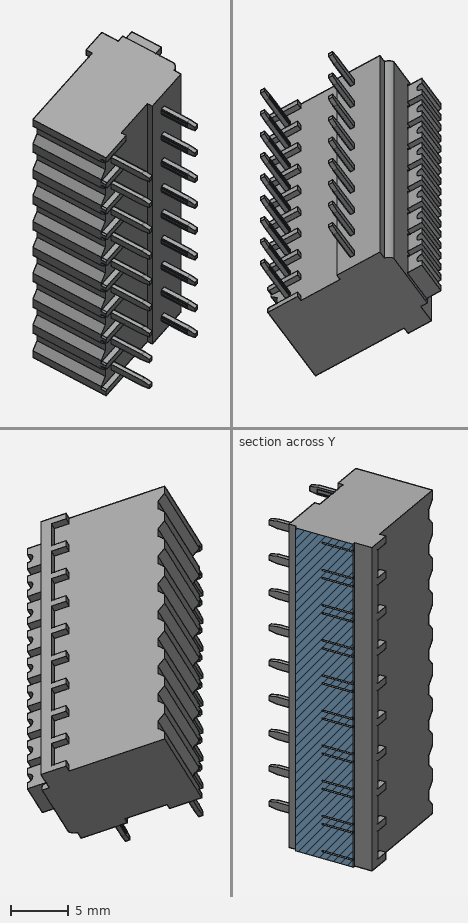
import cadquery as cq
import math


length = 32.2
poles = 9
rib = 0.7
pitch = (length - rib) / poles
pole_centres = [rib / 2 + pitch * (i + 0.5) for i in range(poles)]
pocket_height = pitch - rib

lip_depth = 0.65
lip_front = 9.15
shoulder_y = 11.55
back_y = 12.25
back_left = 1.75
corner_start = 7.18
corner_end = 7.63
corner_mid_x = 7.47
corner_mid_y = 11.98
foot_face = 8.37
foot_depth = 0.5
wall_x = foot_face - foot_depth
front_foot_end = 3.1
back_foot_start = 7.12

groove_depth = 0.65
groove_floor = 0.9
groove_mouth = 2.38

lip_strip_front = 10.55
rib_chamfer = 0.145

tab_height = 2.6
tab_right = 4.85
tab_back = 13.65
tab_root = 0.32
notch_radius = 0.5

front_pin_y = 1.7
back_pin_y = 8.73
pin_thickness = 0.42
pin_width = 0.75
pin_root = wall_x - 0.65
pin_end = 11.9
tip_length = 0.8
tip_width = 0.45
tip_start = pin_end - tip_length
bead_height = 0.08
bead_width = 0.35


def box(x0, x1, y0, y1, z_centre, height):
    """Box between two X and two Y positions, centred on z_centre."""
    return (
        cq.Workplane("XY", origin=(0, 0, z_centre - height / 2))
        .moveTo(x0, y0)
        .lineTo(x1, y0)
        .lineTo(x1, y1)
        .lineTo(x0, y1)
        .close()
        .extrude(height)
    )


def make_body():
    return (
        cq.Workplane("XY")
        .moveTo(lip_depth, 0)
        .lineTo(foot_face, 0)
        .lineTo(foot_face, front_foot_end)
        .lineTo(wall_x, front_foot_end)
        .lineTo(wall_x, back_foot_start)
        .lineTo(foot_face, back_foot_start)
        .lineTo(foot_face, shoulder_y)
        .lineTo(corner_end, shoulder_y)
        .threePointArc((corner_mid_x, corner_mid_y), (corner_start, back_y))
        .lineTo(back_left, back_y)
        .lineTo(back_left, shoulder_y)
        .lineTo(0, shoulder_y)
        .lineTo(0, lip_front)
        .lineTo(lip_depth, lip_front)
        .close()
        .extrude(length)
    )


def groove(z):
    """Trapezoidal groove running along X, open towards the front."""
    return (
        cq.Workplane("YZ")
        .moveTo(0, z - groove_mouth / 2)
        .lineTo(groove_depth, z - groove_floor / 2)
        .lineTo(groove_depth, z + groove_floor / 2)
        .lineTo(0, z + groove_mouth / 2)
        .close()
        .extrude(foot_face)
    )


def rib_gap(x0, x1, outer_y, inner_y, z):
    """Gap between two ribs, from an open outer face inwards, with chamfered outer edges."""
    half = pocket_height / 2
    inward = math.copysign(rib_chamfer, inner_y - outer_y)
    return (
        cq.Workplane("YZ", origin=(x0, 0, 0))
        .moveTo(outer_y, z - half - rib_chamfer)
        .lineTo(outer_y + inward, z - half)
        .lineTo(inner_y, z - half)
        .lineTo(inner_y, z + half)
        .lineTo(outer_y + inward, z + half)
        .lineTo(outer_y, z + half + rib_chamfer)
        .close()
        .extrude(x1 - x0)
    )


def foot_pocket(z):
    return rib_gap(wall_x, foot_face, 0, front_foot_end, z)


def tab_pocket(z):
    return rib_gap(back_left, tab_right, back_y, shoulder_y, z)


def lip_pocket(z):
    return box(0, lip_depth, lip_front, lip_strip_front, z, pocket_height)


def tab(z):
    """Tab at the back with a half-round notch across its end."""
    blank = box(back_left, tab_right, shoulder_y - tab_root, tab_back, z, tab_height)
    notch = (
        cq.Workplane("YZ", origin=(back_left, 0, 0))
        .center(tab_back, z)
        .circle(notch_radius)
        .extrude(tab_right - back_left)
    )
    return blank.cut(notch)


def pin(y, z):
    """Flat pin pointing along +X, tapering at its tip."""
    return (
        cq.Workplane("XZ", origin=(0, y + pin_thickness / 2, 0))
        .moveTo(pin_root, z - pin_width / 2)
        .lineTo(tip_start, z - pin_width / 2)
        .lineTo(pin_end, z - tip_width / 2)
        .lineTo(pin_end, z + tip_width / 2)
        .lineTo(tip_start, z + pin_width / 2)
        .lineTo(pin_root, z + pin_width / 2)
        .close()
        .extrude(pin_thickness)
    )


def beaded_pin(y, z, bead_side):
    """Pin with a bead on its +Y (bead_side = 1) or -Y (bead_side = -1) face."""
    bead_y = y + bead_side * (pin_thickness / 2 + bead_height)
    bead = box(pin_root, tip_start, y, bead_y, z, bead_width)
    return pin(y, z).union(bead)


result = make_body()
for z in pole_centres:
    for recess in (groove, foot_pocket, lip_pocket, tab_pocket):
        result = result.cut(recess(z))
    result = result.union(tab(z))
    result = result.union(beaded_pin(front_pin_y, z, 1))
    result = result.union(beaded_pin(back_pin_y, z, -1))